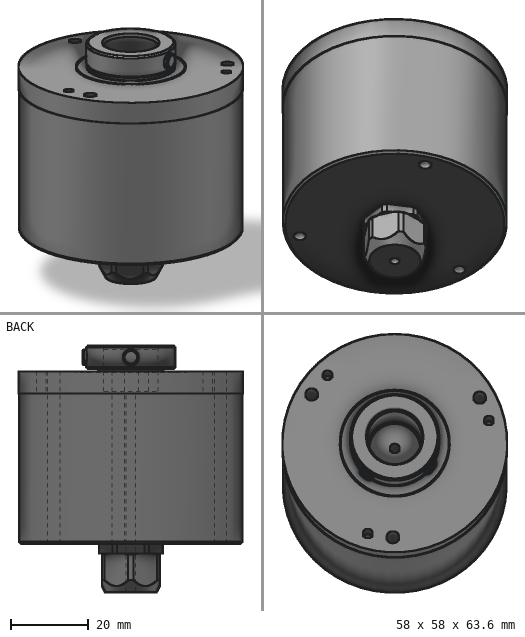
import cadquery as cq
import math

total_height = 63.6
nut_height = 10.05
gland_base_height = 2.5
body_height = 38.8
flange_height = 5.65
neck_height = 0.65

body_bottom = nut_height + gland_base_height
flange_bottom = body_bottom + body_height
flange_top = flange_bottom + flange_height
collar_bottom = flange_top + neck_height
collar_height = total_height - collar_bottom

flange_radius = 29.0
body_radius = 28.9
body_chamfer = 0.65

neck_radius = 8.45
collar_radius = 11.5
collar_chamfer = 0.5
bore_radius = 7.0
mouth_radius = 7.8
mouth_chamfer_width = 0.45
mouth_chamfer_depth = 0.1
lead_in_depth = 0.95
bore_depth = collar_height + neck_height + flange_height
bore_floor_chamfer = 0.45

screw_radius = 2.05
screw_chamfer = 0.4
screw_reach = 12.45
screw_shoulder = 12.1

outer_groove_radius = 14.2
inner_groove_radius = 11.4
groove_width = 0.25
groove_depth = 0.25

hole_circle_radius = 25.0
through_hole_diameter = 3.2
blind_hole_diameter = 2.5
blind_hole_depth = flange_height
holes_per_set = 3
through_hole_angle = 37.5
blind_hole_angle = 22.5

hex_across_flats = 14.95
hex_corner_radius = 8.25
nut_tip_radius = 6.6
nut_tip_height = 3.2
nut_top_radius = 7.75
nut_top_chamfer_height = 0.3
cable_hole_diameter = 2.5


def cylinder(radius, height, bottom):
    """Upright cylinder on the main axis."""
    return cq.Workplane("XY").workplane(offset=bottom).circle(radius).extrude(height)


def turned(profile):
    """Solid of revolution about Z from (radius, height) points."""
    return cq.Workplane("XZ").polyline(profile).close().revolve(360, (0, 0, 0), (0, 1, 0))


def hexagon(height, bottom, first_corner_angle):
    """Hexagonal prism with its first corner at the given angle from +X."""
    across_corners = hex_across_flats / math.cos(math.pi / 6)
    prism = cq.Workplane("XY").polygon(6, across_corners).extrude(height)
    return prism.rotate((0, 0, 0), (0, 0, 1), first_corner_angle).translate((0, 0, bottom))


def make_groove(outer_radius):
    """Narrow ring to be cut into the flange face."""
    bottom = flange_top - groove_depth
    outside = cylinder(outer_radius, groove_depth, bottom)
    return outside.cut(cylinder(outer_radius - groove_width, groove_depth, bottom))


def make_housing():
    body = cylinder(body_radius, body_height, body_bottom).faces("<Z").chamfer(body_chamfer)
    housing = body.union(cylinder(flange_radius, flange_height, flange_bottom))
    for radius in (outer_groove_radius, inner_groove_radius):
        housing = housing.cut(make_groove(radius))
    return housing


def make_collar():
    neck = cylinder(neck_radius, neck_height, flange_top)
    ring = cylinder(collar_radius, collar_height, collar_bottom)
    ring = ring.faces("<Z or >Z").chamfer(collar_chamfer)
    return neck.union(ring)


def make_set_screw(angle):
    """Set screw pointing outwards from the collar, with a chamfered tip."""
    tip_radius = screw_radius - screw_chamfer
    profile = [
        (mouth_radius, 0),
        (mouth_radius, screw_radius),
        (screw_shoulder, screw_radius),
        (screw_reach, tip_radius),
        (screw_reach, 0),
    ]
    screw = cq.Workplane("XY").polyline(profile).close().revolve(360, (0, 0, 0), (1, 0, 0))
    screw = screw.translate((0, 0, collar_bottom + collar_height / 2))
    return screw.rotate((0, 0, 0), (0, 0, 1), angle)


def make_shaft_bore():
    """Blind bore with a chamfered mouth, a tapered lead-in and a chamfered floor."""
    floor = total_height - bore_depth
    return turned([
        (0, floor),
        (bore_radius - bore_floor_chamfer, floor),
        (bore_radius, floor + bore_floor_chamfer),
        (bore_radius, total_height - lead_in_depth),
        (mouth_radius - mouth_chamfer_width, total_height - mouth_chamfer_depth),
        (mouth_radius, total_height),
        (0, total_height),
    ])


def make_gland():
    """Fixed hexagon under the body and a tapered hexagonal nut turned by 30 degrees."""
    base_limit = cylinder(hex_corner_radius, gland_base_height, nut_height)
    base = hexagon(gland_base_height, nut_height, 0).intersect(base_limit)
    nut_limit = turned([
        (0, 0),
        (nut_tip_radius, 0),
        (hex_corner_radius, nut_tip_height),
        (hex_corner_radius, nut_height - nut_top_chamfer_height),
        (nut_top_radius, nut_height),
        (0, nut_height),
    ])
    nut = hexagon(nut_height, 0, 30).intersect(nut_limit)
    return base.union(nut)


def make_holes(diameter, depth, first_angle):
    """Ring of evenly spaced holes cut down from the flange face."""
    return (
        cq.Workplane("XY")
        .workplane(offset=flange_top - depth)
        .polarArray(hole_circle_radius, first_angle, 360, holes_per_set)
        .circle(diameter / 2)
        .extrude(depth)
    )


result = make_housing().union(make_collar()).union(make_gland())
for screw_angle in (0, 90):
    result = result.union(make_set_screw(screw_angle))

result = result.cut(make_shaft_bore())
result = result.cut(cylinder(cable_hole_diameter / 2, total_height, 0))
result = result.cut(make_holes(through_hole_diameter, flange_height + body_height, through_hole_angle))
result = result.cut(make_holes(blind_hole_diameter, blind_hole_depth, blind_hole_angle))